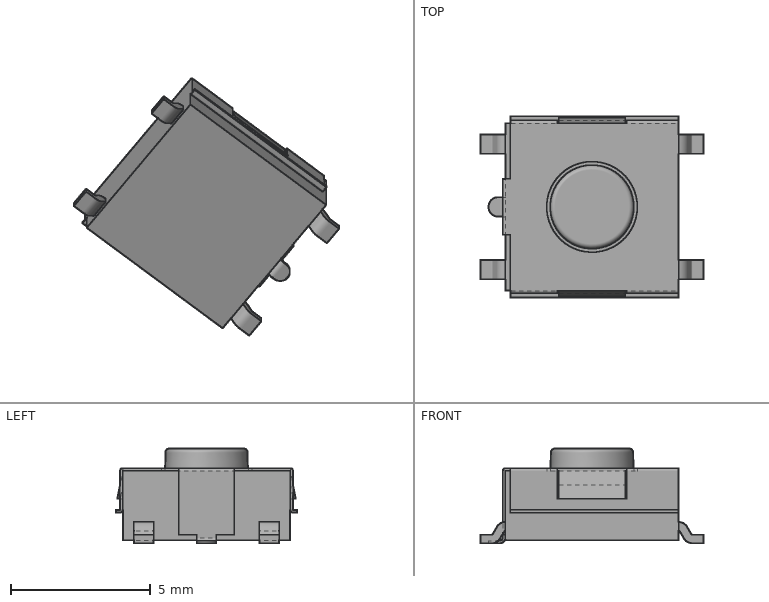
import cadquery as cq
import math


base_length = 6.2
base_width = 6
base_bottom = 0.1

cover_width = 6.2
cover_top = 2.7
cover_left = -2.92
sheet = (cover_width - base_width) / 2
base_top = cover_top - sheet
flange_top = 1.2
flange_span = 6.5

tab_width = 2
tab_bottom = 0.3
tongue_width = 0.7
tongue_reach = 3.71

latch_window_width = 2.48
latch_width = 2.4
latch_bottom = 1.6
latch_reach = 3.2

plunger_top = 3.4
plunger_base_diameter = 3.0
plunger_top_diameter = 2.94
plunger_rounding = 0.14
plunger_hole_diameter = 3.25

lead_span = 8
lead_width = 0.7
lead_spacing = 4.5
lead_thickness = 0.31
lead_top = 0.77
lead_inner_radius = 0.05
lead_bend_angle = math.radians(60)

base_x = base_length / 2
base_y = base_width / 2
cover_y = cover_width / 2
flange_y = flange_span / 2


def block(x_min, x_max, y_min, y_max, z_min, z_max):
    """Box given by its limits along each axis."""
    size = (x_max - x_min, y_max - y_min, z_max - z_min)
    return cq.Workplane("XY").box(*size, centered=False).translate((x_min, y_min, z_min))


def both_sides(solid, plane):
    """The solid together with its mirror image."""
    return solid.union(solid.mirror(plane))


def make_base():
    return block(-base_x, base_x, -base_y, base_y, base_bottom, base_top)


def make_cover():
    """Top sheet and the two folded walls with their outward flanges; the base fills the inside."""
    flange_bottom = flange_top - sheet
    half = (
        cq.Workplane("YZ", origin=(cover_left, 0, 0))
        .moveTo(0, cover_top)
        .lineTo(cover_y - sheet, cover_top)
        .radiusArc((cover_y, cover_top - sheet), sheet)
        .lineTo(cover_y, flange_top)
        .lineTo(flange_y, flange_top)
        .lineTo(flange_y, flange_bottom)
        .lineTo(cover_y, flange_bottom)
        .radiusArc((base_y, flange_top), sheet)
        .lineTo(0, flange_top)
        .close()
        .extrude(base_x - cover_left)
    )
    return both_sides(half, "XZ")


def make_latch_windows():
    """Cutters that open both cover walls above the latch foot."""
    window = block(
        -latch_window_width / 2, latch_window_width / 2, base_y, flange_y, latch_bottom, cover_top
    )
    return both_sides(window, "XZ")


def make_latches():
    """Plates leaning outwards from the top edge of the base."""
    latch = (
        cq.Workplane("YZ", origin=(-latch_width / 2, 0, 0))
        .polyline([
            (base_y, base_top),
            (latch_reach, latch_bottom),
            (latch_reach - sheet, latch_bottom),
            (base_y - sheet, base_top),
        ])
        .close()
        .extrude(latch_width)
    )
    return both_sides(latch, "XZ")


def make_tab():
    """Tab folded down the -X side, ending in a rounded tongue that turns outwards."""
    tab = block(-base_x - sheet, cover_left, -tab_width / 2, tab_width / 2, tab_bottom, cover_top)
    tab = tab.edges("<X and >Z").fillet(sheet)

    tip_radius = tongue_width / 2
    tip_x = tip_radius - tongue_reach
    bend_outer = 2 * sheet
    bend_x = -base_x - bend_outer
    tongue = (
        cq.Workplane("XZ", origin=(0, tip_radius, 0))
        .moveTo(tip_x, 0)
        .lineTo(bend_x, 0)
        .radiusArc((-base_x, bend_outer), -bend_outer)
        .lineTo(-base_x, tab_bottom)
        .lineTo(-base_x - sheet, tab_bottom)
        .lineTo(-base_x - sheet, bend_outer)
        .radiusArc((bend_x, sheet), sheet)
        .lineTo(tip_x, sheet)
        .close()
        .extrude(tongue_width)
    )
    tip = (
        cq.Workplane("XY")
        .moveTo(tip_x, tip_radius)
        .threePointArc((-tongue_reach, 0), (tip_x, -tip_radius))
        .close()
        .extrude(sheet)
    )
    return tab.union(tongue).union(tip)


def make_leads():
    """Four S-bent leads: down from the base side, then flat on the mounting plane."""
    inner = lead_inner_radius
    outer = lead_inner_radius + lead_thickness
    sine = math.sin(lead_bend_angle)
    cosine = math.cos(lead_bend_angle)

    upper_z = lead_top - outer
    lower_z = outer
    lower_x = base_x + (outer + inner - (lower_z - upper_z) * cosine) / sine

    lead = (
        cq.Workplane("XZ", origin=(0, lead_spacing / 2 + lead_width / 2, 0))
        .moveTo(base_x, lead_top)
        .radiusArc((base_x + outer * sine, upper_z + outer * cosine), outer)
        .lineTo(lower_x - inner * sine, lower_z - inner * cosine)
        .radiusArc((lower_x, lead_thickness), -inner)
        .lineTo(lead_span / 2, lead_thickness)
        .lineTo(lead_span / 2, 0)
        .lineTo(lower_x, 0)
        .radiusArc((lower_x - outer * sine, lower_z - outer * cosine), outer)
        .lineTo(base_x + inner * sine, upper_z + inner * cosine)
        .radiusArc((base_x, upper_z + inner), -inner)
        .close()
        .extrude(lead_width)
    )
    return both_sides(both_sides(lead, "XZ"), "YZ")


def make_plunger_hole():
    """Cutter for the round opening through the cover."""
    return cq.Workplane("XY", origin=(0, 0, base_top)).circle(plunger_hole_diameter / 2).extrude(sheet)


def make_plunger():
    """Slightly tapered button with a rounded rim."""
    plunger = (
        cq.Workplane("XY", origin=(0, 0, base_top))
        .circle(plunger_base_diameter / 2)
        .workplane(offset=plunger_top - base_top)
        .circle(plunger_top_diameter / 2)
        .loft()
    )
    return plunger.faces(">Z").edges().fillet(plunger_rounding)


cover = make_cover().union(make_tab()).cut(make_latch_windows())
result = make_base().union(cover).cut(make_plunger_hole())
for addition in (make_latches(), make_leads(), make_plunger()):
    result = result.union(addition)